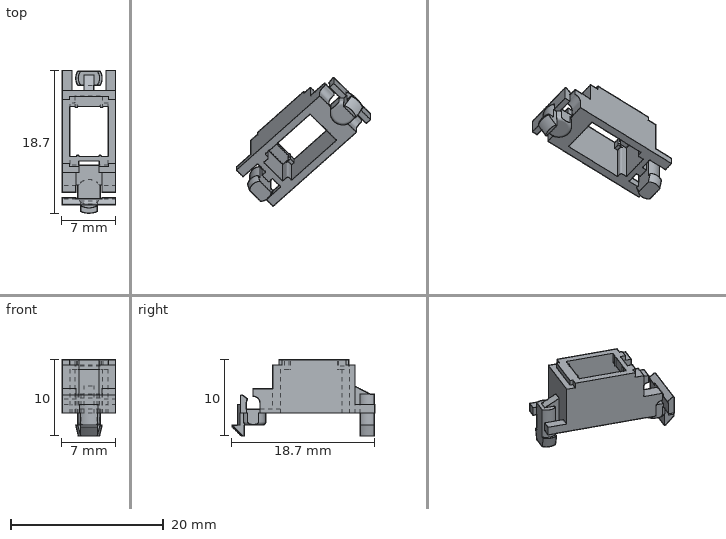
import cadquery as cq
import math


width = 7.0
length = 18.7
half_width = width / 2

housing_front = 5.33
housing_rear = 16.1
shoulder_height = 6.32
housing_height = 7.0
step_inset = 0.8
corner_notch_length = 0.4
front_tongue_width = 5.12
window_front = 7.46
window_rear = 13.95
window_width = 5.01
lip_bottom = 5.7
cavity_front = 6.32
cavity_rear = 14.42
rear_slot_width = 3.59
rear_slot_end = 15.35
rear_slot_top = 6.17
slot_edge_radius = 0.25
front_opening_width = 2.64
rim_front = 6.85

rear_bump_x = 1.65
rear_bump_radius = 0.19
rear_bump_inset = 0.07
front_bump_x = 1.45
front_bump_radius = 0.17

foot_width = 1.29
foot_height = 1.15
pin_y = 17.69
pin_thickness = 1.87
pin_radius = 1.4
pin_top = 2.49
flare_radius = 1.74
flare_top = -1.57
bottom = -3.01
rib_width = 1.3
rib_end = 18.12
rib_top = 3.52

arm_inner_x = 1.7
arm_front = 2.73
arm_top = 3.22
arm_edge_radius = 0.1
latch_y = 2.77
gap_radius = 0.88
gap_axis_z = 1.3

tongue_thickness = 0.5
tongue_width = 3.0
tongue_step = 3.68
boss_radius = 1.66
boss_edge_radius = 0.43
boss_bottom = flare_top

plate_front = 1.1
plate_rear = 1.93
lip_y = 2.05
lip_z = 1.85
plate_peak = 2.56
plate_edge_radius = 0.17

hook_width = 2.2
stem_radius = 2.05
stem_top = foot_height
hook_rear = 1.6
hook_tip_radius = latch_y
hook_tip_thickness = 0.22
hook_foot_y = 1.22


def block(x_size, y_start, y_end, z_start, z_end, x_centre=0.0):
    """Box centred on x_centre between the given Y and Z limits."""
    box = cq.Workplane("XY").box(x_size, y_end - y_start, z_end - z_start, centered=(True, False, False))
    return box.translate((x_centre, y_start, z_start))


def cylinder(x, y, radius, z_start, z_end):
    return cq.Workplane("XY", origin=(x, y, z_start)).circle(radius).extrude(z_end - z_start)


def side_profile(points, x_size):
    """Closed (Y, Z) outline extruded symmetrically across X."""
    return cq.Workplane("YZ").polyline(points).close().extrude(x_size / 2, both=True)


def make_housing():
    shell = block(width, housing_front, housing_rear, 0, shoulder_height)
    top_front = housing_front + step_inset
    top_rear = housing_rear - step_inset
    notch = corner_notch_length
    shell = shell.union(block(width, top_front + notch, top_rear - notch, shoulder_height, housing_height))
    shell = shell.union(block(front_tongue_width, top_front, top_rear, shoulder_height, housing_height))

    shell = shell.cut(block(window_width, window_front, window_rear, 0, housing_height))
    shell = shell.cut(block(front_opening_width, housing_front, rim_front, 0, housing_height))
    shell = shell.cut(block(front_opening_width, housing_front, window_front, 0, lip_bottom))
    return shell.cut(make_cavity())


def make_cavity():
    """Undercut below the rim, with a taller, rounded-mouth slot in the rear wall."""
    cavity = block(window_width, cavity_front, cavity_rear, 0, lip_bottom)
    cavity = cavity.union(block(rear_slot_width, window_front, rear_slot_end, 0, lip_bottom))
    margin = 0.02
    for mouth_x in (-rear_slot_width / 2, rear_slot_width / 2):
        edge = cq.selectors.BoxSelector(
            (mouth_x - margin, cavity_rear - margin, 0),
            (mouth_x + margin, cavity_rear + margin, lip_bottom),
        )
        cavity = cavity.edges(edge).fillet(slot_edge_radius)
    return cavity.union(block(rear_slot_width, window_rear, rear_slot_end, lip_bottom, rear_slot_top))


def make_bumps():
    rear_y = window_rear + rear_bump_inset
    rear_bump = cylinder(rear_bump_x, rear_y, rear_bump_radius, lip_bottom, housing_height)
    front_bump = cylinder(front_bump_x, window_front, front_bump_radius, lip_bottom, housing_height)
    bumps = rear_bump.union(front_bump)
    return bumps.union(bumps.mirror("YZ"))


def make_feet():
    foot_x = half_width - foot_width / 2
    foot = block(foot_width, housing_rear, length, 0, foot_height, foot_x)
    return foot.union(foot.mirror("YZ"))


def make_pin():
    """Flat-sided round pin with a flared end, tied to the housing by a sloping rib."""
    pin_profile = [
        (0, pin_top),
        (pin_radius, pin_top),
        (pin_radius, flare_top),
        (flare_radius, flare_top),
        (pin_radius, bottom),
        (0, bottom),
    ]
    pin = cq.Workplane("XZ").polyline(pin_profile).close().revolve(360, (0, 0), (0, 1))
    pin = pin.translate((0, pin_y, 0))
    half = pin_thickness / 2
    pin = pin.intersect(block(width, pin_y - half, pin_y + half, bottom, pin_top))
    rib = side_profile(
        [(housing_rear, 0), (pin_y, 0), (rib_end, pin_top), (housing_rear, rib_top)], rib_width
    )
    return pin.union(rib)


def make_arms():
    arm_width = half_width - arm_inner_x
    arm_x = half_width - arm_width / 2
    arm = block(arm_width, arm_front, housing_front, 0, arm_top, arm_x)
    arm = arm.cut(make_gap())
    arm = arm.edges("|X and <Y").fillet(arm_edge_radius)
    return arm.union(arm.mirror("YZ"))


def make_gap():
    """Gap with a round top that separates the arms from the latch plate."""
    round_top = cq.Workplane("YZ", origin=(-half_width, 0, 0)).center(latch_y, gap_axis_z)
    round_top = round_top.circle(gap_radius).extrude(width)
    return round_top.union(block(width, latch_y - gap_radius, latch_y + gap_radius, 0, gap_axis_z))


def make_tongue():
    tongue = block(2 * arm_inner_x, tongue_step, cavity_front, 0, tongue_thickness)
    tongue = tongue.union(block(tongue_width, plate_front, tongue_step, 0, tongue_thickness))
    boss = cylinder(0, latch_y, boss_radius, boss_bottom, 0).faces("<Z").edges().fillet(boss_edge_radius)
    boss = boss.intersect(block(tongue_width, 0, length, boss_bottom, 0))
    return tongue.union(boss)


def make_latch_plate():
    plate = side_profile(
        [(plate_front, 0), (lip_y, 0), (lip_y, lip_z), (plate_front, plate_peak)], width
    )
    plate = plate.edges("|X and >Z").fillet(plate_edge_radius)
    plate = plate.cut(make_gap())
    return plate.cut(block(2 * arm_inner_x, plate_rear, length, 0, plate_peak))


def hook_section(z, front_y):
    """D-shaped section with a flat rear and an arc reaching front_y at its middle."""
    half = hook_width / 2
    sag = hook_tip_radius - math.sqrt(hook_tip_radius**2 - half**2)
    section = cq.Workplane("XY", origin=(0, 0, z)).moveTo(-half, hook_rear).lineTo(-half, front_y + sag)
    return section.threePointArc((0, front_y), (half, front_y + sag)).lineTo(half, hook_rear).close()


def make_hook():
    stem_column = cylinder(0, latch_y, stem_radius, flare_top, stem_top)
    upper_stem = stem_column.intersect(block(width, 0, hook_rear, 0, stem_top))
    lower_stem = stem_column.intersect(block(hook_width, 0, hook_rear, flare_top, 0))

    tip_bottom = flare_top - hook_tip_thickness
    tip = hook_section(tip_bottom, 0).extrude(hook_tip_thickness)
    lower_wire = hook_section(bottom, hook_foot_y).val()
    upper_wire = hook_section(tip_bottom, 0).val()
    wedge = cq.Workplane(cq.Solid.makeLoft([lower_wire, upper_wire], True))
    return upper_stem.union(lower_stem).union(tip).union(wedge)


frame = make_housing().union(make_bumps()).union(make_feet()).union(make_pin())
frame = frame.union(make_arms()).union(make_tongue())
result = frame.union(make_latch_plate()).union(make_hook()).clean()